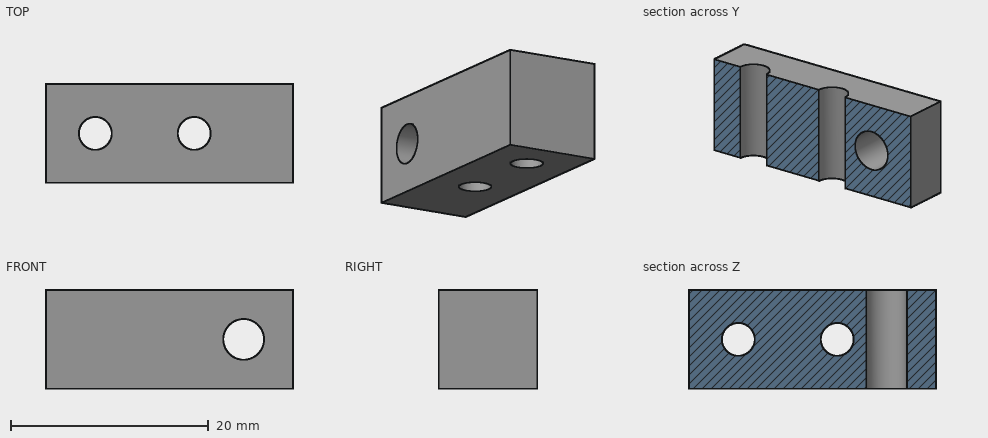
import cadquery as cq

length = 25.0
width = 10.0
height = 10.0

vertical_hole_diameter = 3.3
vertical_hole_positions = (5.0, 15.0)
cross_hole_diameter = 4.1
cross_hole_position = 20.0


def vertical_hole(x):
    """Cutter through the full height, centred across the width."""
    return cq.Workplane("XY").center(x, width / 2).circle(vertical_hole_diameter / 2).extrude(height)


def cross_hole(x):
    """Cutter through the full width, centred in the height."""
    return cq.Workplane("XZ").center(x, height / 2).circle(cross_hole_diameter / 2).extrude(-width)


result = cq.Workplane("XY").box(length, width, height, centered=False)
for position in vertical_hole_positions:
    result = result.cut(vertical_hole(position))
result = result.cut(cross_hole(cross_hole_position))